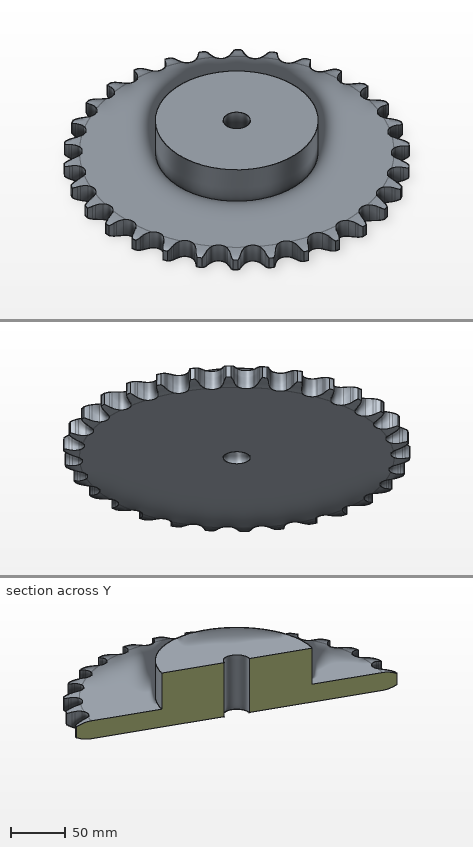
import cadquery as cq
import math

tooth_count = 30
tip_radius = 159.5
root_radius = 142.2
plate_thickness = 18.5
relief_start_radius = 144.8
relief_radius = 32.0

seat_radius = 9.5
working_radius = 25.0
flat_length = 2.6
topping_radius = 15.5
seat_lean = 37.0
flat_lean = 21.0

hub_diameter = 150.0
bore_diameter = 25.0
total_height = 55.0

cutter_overrun = 3.2

pitch_radius = root_radius + seat_radius
tooth_angle = 360.0 / tooth_count
cutter_end = tip_radius + cutter_overrun


def arc_point(centre, radius, angle):
    """Point on an arc, with the angle in degrees from the +X axis."""
    turn = math.radians(angle)
    return (centre[0] + radius * math.cos(turn), centre[1] + radius * math.sin(turn))


def mirrored(point):
    """Point reflected across the gap axis."""
    return (point[0], -point[1])


def gap_cutter():
    """Prism that clears one tooth gap, centred on the +X axis."""
    seat_angle = 90.0 + seat_lean
    flat_angle = 90.0 + flat_lean

    seat_centre = (pitch_radius, 0)
    seat_end = arc_point(seat_centre, seat_radius, seat_angle)
    working_centre = arc_point(seat_end, -working_radius, seat_angle)
    working_middle = arc_point(working_centre, working_radius, (seat_angle + flat_angle) / 2)
    working_end = arc_point(working_centre, working_radius, flat_angle)
    flat_end = arc_point(working_end, flat_length, flat_lean)
    topping_centre = arc_point(flat_end, topping_radius, flat_angle)

    topping_start_angle = flat_angle - 180.0
    topping_end_angle = -math.degrees(math.acos((cutter_end - topping_centre[0]) / topping_radius))
    topping_middle_angle = (topping_start_angle + topping_end_angle) / 2
    topping_middle = arc_point(topping_centre, topping_radius, topping_middle_angle)
    topping_end = arc_point(topping_centre, topping_radius, topping_end_angle)

    return (
        cq.Workplane("XY")
        .moveTo(*mirrored(topping_end))
        .threePointArc(mirrored(topping_middle), mirrored(flat_end))
        .lineTo(*mirrored(working_end))
        .threePointArc(mirrored(working_middle), mirrored(seat_end))
        .threePointArc((root_radius, 0), seat_end)
        .threePointArc(working_middle, working_end)
        .lineTo(*flat_end)
        .threePointArc(topping_middle, topping_end)
        .close()
        .extrude(plate_thickness)
    )


def relieved_disc():
    """Plate blank whose rim is rounded above and below, to relieve the tooth sides."""
    def relief_depth(radius):
        return relief_radius - math.sqrt(relief_radius**2 - (radius - relief_start_radius) ** 2)

    middle_radius = (relief_start_radius + tip_radius) / 2
    middle_depth = relief_depth(middle_radius)
    tip_depth = relief_depth(tip_radius)
    return (
        cq.Workplane("XZ")
        .lineTo(relief_start_radius, 0)
        .threePointArc((middle_radius, middle_depth), (tip_radius, tip_depth))
        .lineTo(tip_radius, plate_thickness - tip_depth)
        .threePointArc(
            (middle_radius, plate_thickness - middle_depth),
            (relief_start_radius, plate_thickness),
        )
        .lineTo(0, plate_thickness)
        .close()
        .revolve(360, (0, 0, 0), (0, 1, 0))
    )


def toothed_plate():
    """Relieved disc with one gap cut between each pair of teeth; a tooth points along +X."""
    plate = relieved_disc()
    cutter = gap_cutter()
    for index in range(tooth_count):
        gap_angle = (index + 0.5) * tooth_angle
        plate = plate.cut(cutter.rotate((0, 0, 0), (0, 0, 1), gap_angle))
    return plate


hub = cq.Workplane("XY").circle(hub_diameter / 2).extrude(total_height)
bore = cq.Workplane("XY").circle(bore_diameter / 2).extrude(total_height)

result = toothed_plate().union(hub).cut(bore)